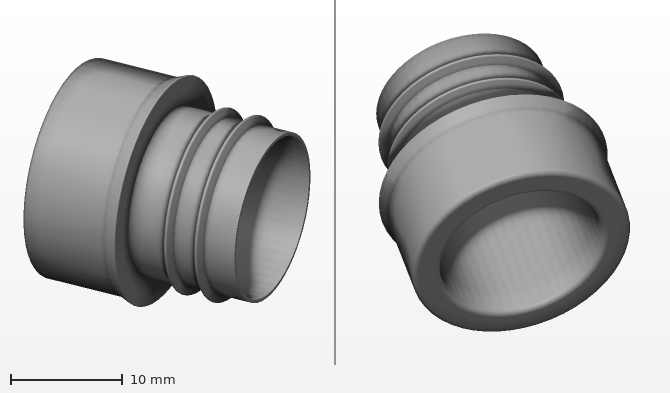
import cadquery as cq
import math

length = 20.0
bore_radius = 15.1 / 2
head_radius = 20.3 / 2
spigot_radius = 15.7 / 2
front_edge_round = 0.5

head_length = 9.48
lip_radius = 21.3 / 2
lip_angle = math.radians(22)
lip_edge_round = 0.1

rib_centers = (13.5, 16.5)
rib_half_width = 0.5
rib_height = 0.79
rib_crest_round = 0.17


def make_body():
    """Head with a flared lip, and the plain spigot behind it, as a solid of revolution."""
    round_x = head_length - lip_edge_round
    round_r = lip_radius - lip_edge_round
    tangent_x = round_x - lip_edge_round * math.sin(lip_angle)
    tangent_r = round_r + lip_edge_round * math.cos(lip_angle)
    flare_start = tangent_x - (tangent_r - head_radius) / math.tan(lip_angle)
    profile = (
        cq.Workplane("XY")
        .moveTo(0, 0)
        .lineTo(0, head_radius)
        .lineTo(flare_start, head_radius)
        .lineTo(tangent_x, tangent_r)
        .threePointArc((round_x, lip_radius), (head_length, round_r))
        .lineTo(head_length, spigot_radius)
        .lineTo(length, spigot_radius)
        .lineTo(length, 0)
        .close()
    )
    return profile.revolve(360, (0, 0, 0), (1, 0, 0))


def make_rib(center_x):
    """Ring with straight flanks and a rounded crest, reaching inward to the bore radius."""
    crest_radius = spigot_radius + rib_height
    round_r = crest_radius - rib_crest_round
    rise = round_r - spigot_radius
    center_distance = math.hypot(rise, rib_half_width)
    tilt = math.atan2(rib_half_width, rise) - math.asin(rib_crest_round / center_distance)
    tangent_offset = rib_crest_round * math.cos(tilt)
    tangent_r = round_r + rib_crest_round * math.sin(tilt)
    profile = (
        cq.Workplane("XY")
        .moveTo(center_x - rib_half_width, bore_radius)
        .lineTo(center_x - rib_half_width, spigot_radius)
        .lineTo(center_x - tangent_offset, tangent_r)
        .threePointArc((center_x, crest_radius), (center_x + tangent_offset, tangent_r))
        .lineTo(center_x + rib_half_width, spigot_radius)
        .lineTo(center_x + rib_half_width, bore_radius)
        .close()
    )
    return profile.revolve(360, (0, 0, 0), (1, 0, 0))


result = make_body()
for rib_center in rib_centers:
    result = result.union(make_rib(rib_center))

bore = cq.Workplane("YZ").circle(bore_radius).extrude(length)
result = result.cut(bore)
result = result.faces("<X").edges().fillet(front_edge_round)